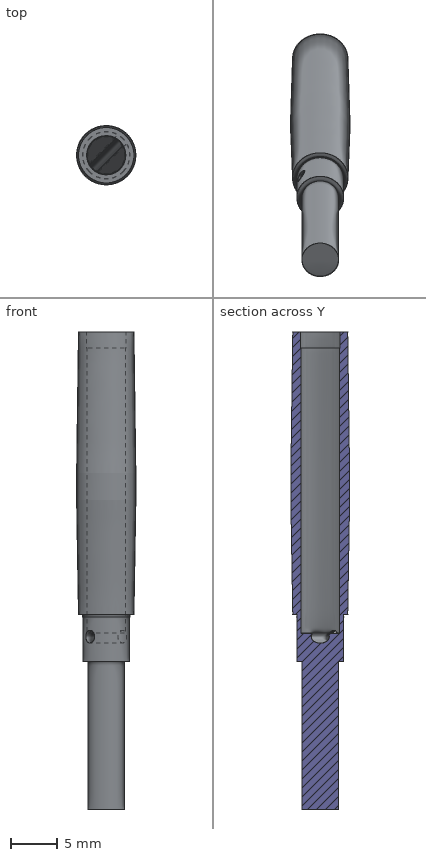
import cadquery as cq
import math

total_height = 51.6
collar_base = 16
ring_base = 20.8
sleeve_base = 21.05
band_base = 33.4
band_top = 36.35

pin_diameter = 3.95
collar_diameter = 5.05
ring_diameter = 5.1
sleeve_end_diameter = 6.0
band_diameter = 6.4

mouth_diameter = 4.25
mouth_depth = 1.75
bore_diameter = 4.15
cross_hole_diameter = 1.35
cross_hole_height = 18.7
cross_hole_angle = 45
trough_width = 1.1
bore_floor = cross_hole_height + math.sqrt(cross_hole_diameter**2 - trough_width**2) / 2


def cylinder(diameter, base, top):
    """Upright cylinder on the part's axis."""
    return cq.Workplane("XY").workplane(offset=base).circle(diameter / 2).extrude(top - base)


def sleeve():
    """Sleeve with a straight middle band and a gentle taper to each end."""
    end_radius = sleeve_end_diameter / 2
    band_radius = band_diameter / 2
    return (
        cq.Workplane("XZ")
        .moveTo(0, sleeve_base)
        .lineTo(end_radius, sleeve_base)
        .lineTo(band_radius, band_base)
        .lineTo(band_radius, band_top)
        .lineTo(end_radius, total_height)
        .lineTo(0, total_height)
        .close()
        .revolve(360, (0, 0), (0, 1))
    )


def cross_hole():
    """Diagonal hole through the collar, cutting a round trough in the bore floor."""
    angle = math.radians(cross_hole_angle)
    direction = cq.Vector(math.cos(angle), math.sin(angle), 0)
    start = cq.Vector(0, 0, cross_hole_height) - direction * collar_diameter
    return cq.Workplane(
        cq.Solid.makeCylinder(cross_hole_diameter / 2, 2 * collar_diameter, start, direction)
    )


body = (
    cylinder(pin_diameter, 0, collar_base)
    .union(cylinder(collar_diameter, collar_base, ring_base))
    .union(cylinder(ring_diameter, ring_base, sleeve_base))
    .union(sleeve())
)

result = (
    body.cut(cylinder(bore_diameter, bore_floor, total_height))
    .cut(cylinder(mouth_diameter, total_height - mouth_depth, total_height))
    .cut(cross_hole())
)